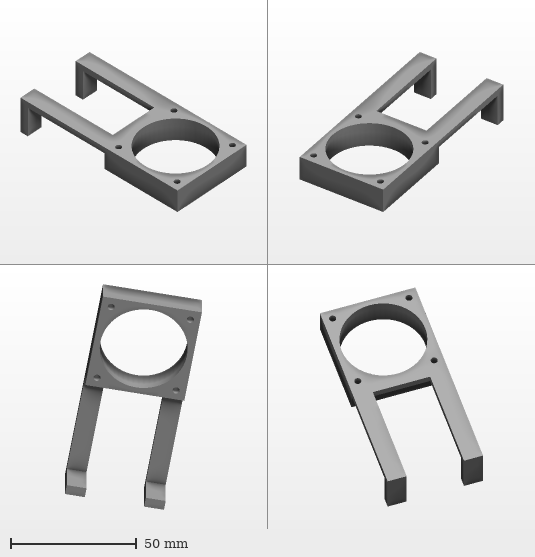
import cadquery as cq

total_length = 86.0
width = 40.0
total_height = 17.5

plate_thickness = 3.0
arm_width = 8.0
slot_length = 43.0

leg_thickness = 4.0

mount_size = width
mount_depth = 8.0
bore_diameter = 35.0
screw_spacing = 32.0
screw_hole_diameter = 2.8

plate_bottom = total_height - plate_thickness
mount_bottom = plate_bottom - mount_depth
mount_start = total_length - mount_size
mount_center_x = mount_start + mount_size / 2
arm_center_y = (width - arm_width) / 2
slot_width = width - 2 * arm_width


def box(x_start, length, y_center, depth, z_start, height):
    """Block starting at x_start and z_start, centred on y_center."""
    return (
        cq.Workplane("XY", origin=(x_start, y_center, z_start))
        .box(length, depth, height, centered=(False, True, False))
    )


def slotted_plate():
    plate = box(0, total_length, 0, width, plate_bottom, plate_thickness)
    slot = box(0, slot_length, 0, slot_width, plate_bottom, plate_thickness)
    return plate.cut(slot)


def leg(side):
    return box(0, leg_thickness, side * arm_center_y, arm_width, 0, plate_bottom)


def mount_block():
    return box(mount_start, mount_size, 0, mount_size, mount_bottom, mount_depth)


def mount_openings():
    """Air bore and four screw holes, through both the plate and the mount."""
    depth = plate_thickness + mount_depth
    base = cq.Workplane("XY", origin=(mount_center_x, 0, mount_bottom))
    bore = base.circle(bore_diameter / 2).extrude(depth)
    screw_holes = (
        base.rect(screw_spacing, screw_spacing, forConstruction=True)
        .vertices()
        .circle(screw_hole_diameter / 2)
        .extrude(depth)
    )
    return bore.union(screw_holes)


body = slotted_plate().union(mount_block())
for side in (-1, 1):
    body = body.union(leg(side))

result = body.cut(mount_openings()).clean()